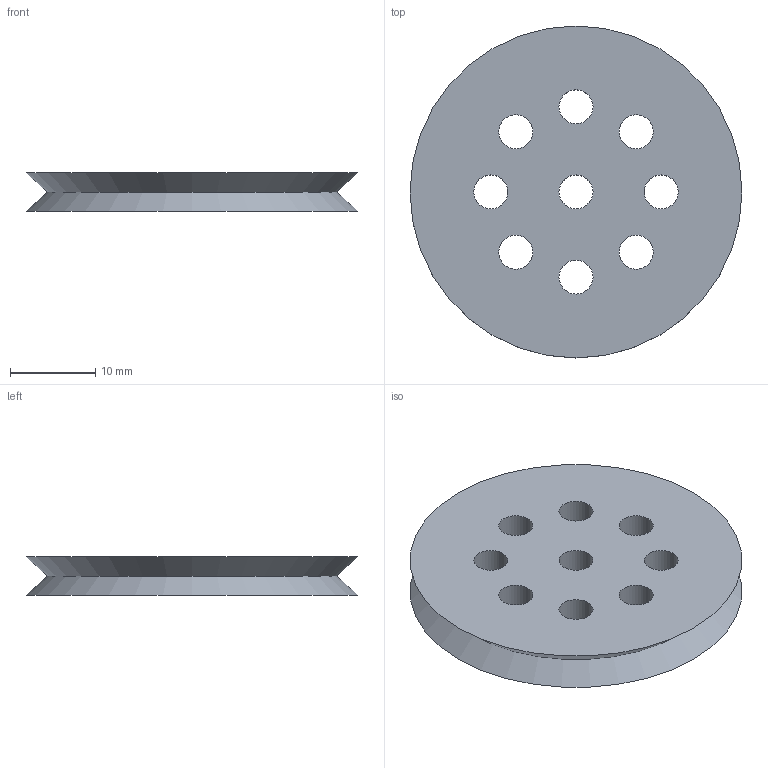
import cadquery as cq

rim_diameter = 39.0
thickness = 4.5
groove_depth = 2.5
hole_diameter = 4.0
bolt_circle_diameter = 20.0
ring_hole_count = 8

rim_radius = rim_diameter / 2
groove_radius = rim_radius - groove_depth


def make_grooved_disc():
    """Disc with a sharp V-groove around its edge, revolved about Z."""
    half_section = [
        (0, 0),
        (rim_radius, 0),
        (groove_radius, thickness / 2),
        (rim_radius, thickness),
        (0, thickness),
    ]
    return (
        cq.Workplane("XZ")
        .polyline(half_section)
        .close()
        .revolve(360, (0, 0, 0), (0, 1, 0))
    )


def drill_holes(disc):
    """Centre hole and an evenly spaced ring of equal holes, all through."""
    centre_drilled = disc.faces(">Z").workplane().hole(hole_diameter)
    return (
        centre_drilled.faces(">Z")
        .workplane()
        .polarArray(bolt_circle_diameter / 2, 0, 360, ring_hole_count)
        .hole(hole_diameter)
    )


result = drill_holes(make_grooved_disc())